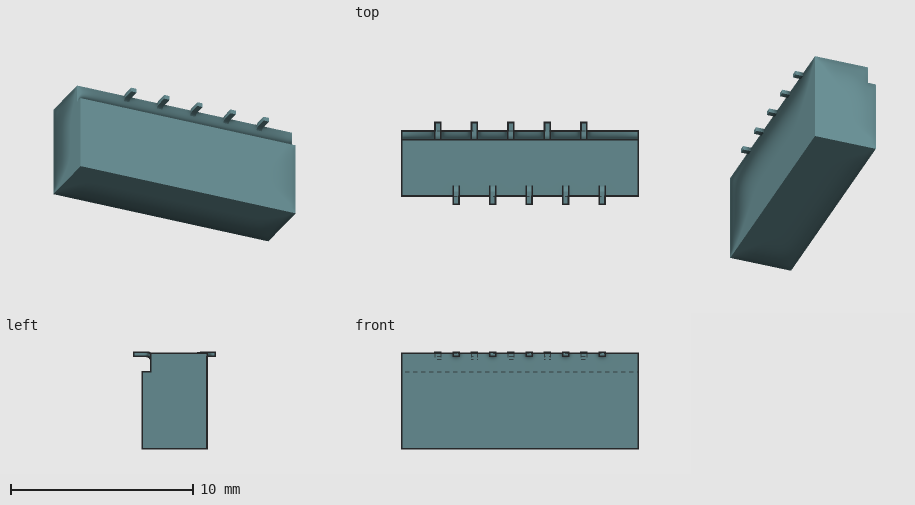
import cadquery as cq

body_length = 13.0
body_depth = 3.58
body_height = 5.25
step_depth = 0.47
step_height = 1.01

pins_per_row = 5
pin_pitch = 2.0
pin_width = 0.32
pin_thickness = 0.23
pin_rise = 0.05
front_reach = 0.45
back_reach = 0.47
pin_flat = 0.7
bend_inner_radius = 0.26
slope_run = 0.29
row_offset = pin_pitch / 4

front_face = -body_depth / 2
back_face = body_depth / 2
front_tip = front_face - front_reach
back_tip = back_face + back_reach
pin_top = body_height + pin_rise


def make_body():
    """Stepped housing, resting on Z = 0."""
    return (
        cq.Workplane("YZ")
        .moveTo(front_face, 0)
        .lineTo(back_face, 0)
        .lineTo(back_face, body_height - step_height)
        .lineTo(back_face - step_depth, body_height - step_height)
        .lineTo(back_face - step_depth, body_height)
        .lineTo(front_face, body_height)
        .close()
        .extrude(body_length / 2, both=True)
    )


def make_back_pin(x_center):
    """Flat tail ending in a quarter bend that turns down inside the housing."""
    outer_radius = bend_inner_radius + pin_thickness
    bend_start = back_tip - pin_flat
    bend_center_z = pin_top - outer_radius
    return (
        cq.Workplane("YZ", origin=(x_center, 0, 0))
        .moveTo(back_tip, pin_top)
        .lineTo(bend_start, pin_top)
        .radiusArc((bend_start - outer_radius, bend_center_z), -outer_radius)
        .lineTo(bend_start - bend_inner_radius, bend_center_z)
        .radiusArc((bend_start, pin_top - pin_thickness), bend_inner_radius)
        .lineTo(back_tip, pin_top - pin_thickness)
        .close()
        .extrude(pin_width / 2, both=True)
    )


def make_front_pin(x_center):
    """Flat tail whose top slopes down until it meets the top of the housing."""
    slope_start = front_tip + pin_flat
    return (
        cq.Workplane("YZ", origin=(x_center, 0, 0))
        .moveTo(front_tip, pin_top)
        .lineTo(slope_start, pin_top)
        .lineTo(slope_start + slope_run, body_height)
        .lineTo(slope_start, pin_top - pin_thickness)
        .lineTo(front_tip, pin_top - pin_thickness)
        .close()
        .extrude(pin_width / 2, both=True)
    )


result = make_body()
for index in range(pins_per_row):
    pin_x = (index - (pins_per_row - 1) / 2) * pin_pitch
    result = result.union(make_front_pin(pin_x + row_offset))
    result = result.union(make_back_pin(pin_x - row_offset))